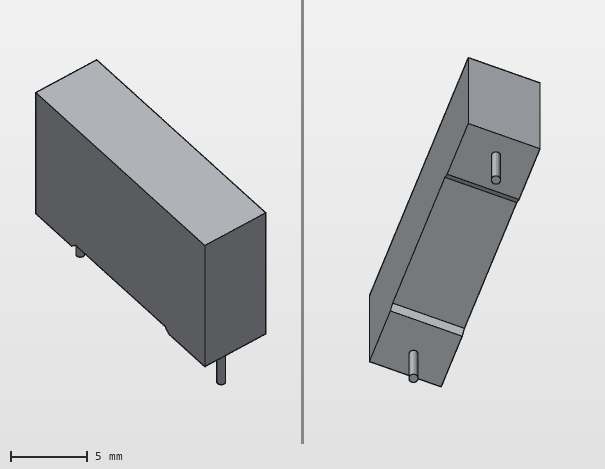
import cadquery as cq

case_length = 18.0
case_depth = 5.0
overall_height = 15.0
lead_length = 4.0
case_height = overall_height - lead_length

lead_diameter = 0.6
lead_pitch = 15.0

relief_depth = 0.4
relief_mouth_length = 10.33
relief_roof_length = 9.5


def make_case():
    """Case standing on Z = 0, with a sloped-end relief across its underside."""
    block = cq.Workplane("XY").box(case_length, case_depth, case_height, centered=(True, True, False))
    relief = (
        cq.Workplane("XZ")
        .moveTo(-relief_mouth_length / 2, 0)
        .lineTo(-relief_roof_length / 2, relief_depth)
        .lineTo(relief_roof_length / 2, relief_depth)
        .lineTo(relief_mouth_length / 2, 0)
        .close()
        .extrude(case_depth / 2, both=True)
    )
    return block.cut(relief)


def make_lead(x):
    """Straight round lead hanging below the case, centred across its depth."""
    return cq.Workplane("XY").center(x, 0).circle(lead_diameter / 2).extrude(-lead_length)


result = make_case()
for side in (-1, 1):
    result = result.union(make_lead(side * lead_pitch / 2))